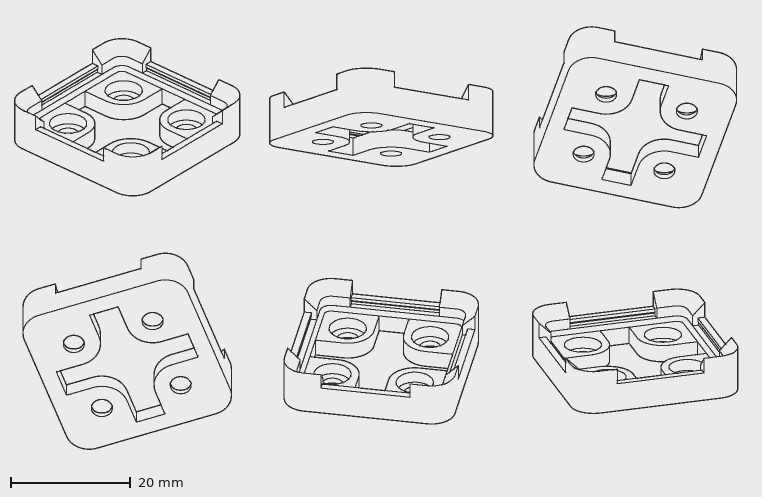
import cadquery as cq

side = 29.0
height = 7.65
corner_radius = 4.0

upper_wall = 2.15
lower_wall = 2.85
pad_height = 3.0
shelf_height = pad_height + lower_wall - upper_wall
bevel_start = height - upper_wall

hole_offset = 7.0
hole_diameter = 3.5
counterbore_diameter = 6.2
seat_height = 1.0
pad_radius = 4.47
wall_overlap = 0.3

window_width = 15.15
window_floor = 5.0
rim_wall = 1.25
lip_thickness = 0.58
undercut = 0.15
lip_taper = 0.23


def rounded_square(inset, z):
    """Closed outline parallel to the outer one, moved inwards by inset."""
    size = side - 2 * inset
    sketch = cq.Sketch().rect(size, size).vertices().fillet(corner_radius - inset)
    return cq.Workplane("XY", origin=(0, 0, z)).placeSketch(sketch)


def straight_block(inset, bottom, top):
    return rounded_square(inset, bottom).extrude(top - bottom)


def tapered_block(inset, bottom, top):
    """Block that widens upwards at 45 degrees from the given inset."""
    return rounded_square(inset, bottom).extrude(top - bottom, taper=-45)


def make_frame():
    frame = straight_block(0, 0, height)
    frame = frame.cut(straight_block(lower_wall, 0, pad_height))
    frame = frame.cut(tapered_block(lower_wall, pad_height, shelf_height))
    frame = frame.cut(straight_block(upper_wall, shelf_height, bevel_start))
    return frame.cut(tapered_block(upper_wall, bevel_start, height))


def make_pad():
    """Pad in the +X +Y corner, rounded towards the middle of the part."""
    inner = hole_offset - pad_radius
    outer = side / 2 - lower_wall + wall_overlap
    size = outer - inner
    middle = (outer + inner) / 2
    pad = cq.Workplane("XY").center(middle, middle).rect(size, size).extrude(pad_height)
    return pad.edges("|Z and <X and <Y").fillet(pad_radius)


def make_screw_hole():
    hole = cq.Workplane("XY").center(hole_offset, hole_offset)
    through = hole.circle(hole_diameter / 2).extrude(pad_height)
    counterbore = hole.workplane(offset=seat_height).circle(counterbore_diameter / 2)
    return through.union(counterbore.extrude(pad_height - seat_height))


def make_window():
    """Cut for the -Y side: open window above, undercut pocket behind the rim wall below."""
    outer_face = -side / 2
    rim_face = outer_face + rim_wall
    pocket_face = rim_face - undercut
    inner_face = outer_face + lower_wall
    lip_bottom = window_floor - lip_thickness
    section = [
        (outer_face, height),
        (outer_face, window_floor),
        (rim_face, window_floor),
        (rim_face, lip_bottom),
        (pocket_face, lip_bottom - lip_taper),
        (pocket_face, shelf_height),
        (inner_face, shelf_height),
        (inner_face, height),
    ]
    return cq.Workplane("YZ").polyline(section).close().extrude(window_width / 2, both=True)


def at_quarter(shape, quarter):
    return shape.rotate((0, 0, 0), (0, 0, 1), 90 * quarter)


result = make_frame()
for quarter in range(4):
    result = result.union(at_quarter(make_pad(), quarter))
    result = result.cut(at_quarter(make_screw_hole(), quarter))
    result = result.cut(at_quarter(make_window(), quarter))